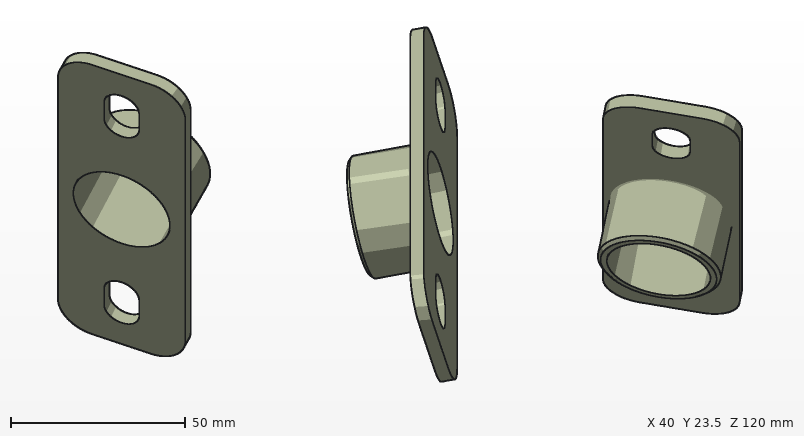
import cadquery as cq

plate_width = 40.0
plate_height = 120.0
plate_thickness = 4.0
corner_radius = 10.75

overall_depth = 23.5
boss_diameter = 36.0
bore_diameter = 30.29
boss_root_fillet = 1.0
boss_rim_chamfer = 1.0

slot_width = 11.0
slot_length = 18.0
slot_spacing = 83.0


def front_plane():
    """XZ plane whose normal points to +Y, so extrusions grow from the front face backwards."""
    return cq.Workplane(cq.Plane(origin=(0, 0, 0), xDir=(-1, 0, 0), normal=(0, 1, 0)))


def make_plate():
    plate = front_plane().rect(plate_width, plate_height).extrude(plate_thickness)
    return plate.edges("|Y").fillet(corner_radius)


def add_boss(body):
    boss = front_plane().circle(boss_diameter / 2).extrude(overall_depth)
    body = body.union(boss)
    boss_root = cq.selectors.BoxSelector(
        (-boss_diameter, plate_thickness - boss_root_fillet, -boss_diameter),
        (boss_diameter, plate_thickness + boss_root_fillet, boss_diameter),
    )
    body = body.edges(boss_root).edges("%CIRCLE").fillet(boss_root_fillet)
    return body.faces(">Y").edges().chamfer(boss_rim_chamfer)


def cut_bore(body):
    bore = front_plane().circle(bore_diameter / 2).extrude(overall_depth)
    return body.cut(bore)


def cut_slots(body):
    slot_centres = [(0, -slot_spacing / 2), (0, slot_spacing / 2)]
    slots = front_plane().pushPoints(slot_centres).slot2D(slot_length, slot_width, 90).extrude(plate_thickness)
    return body.cut(slots)


result = cut_slots(cut_bore(add_boss(make_plate())))